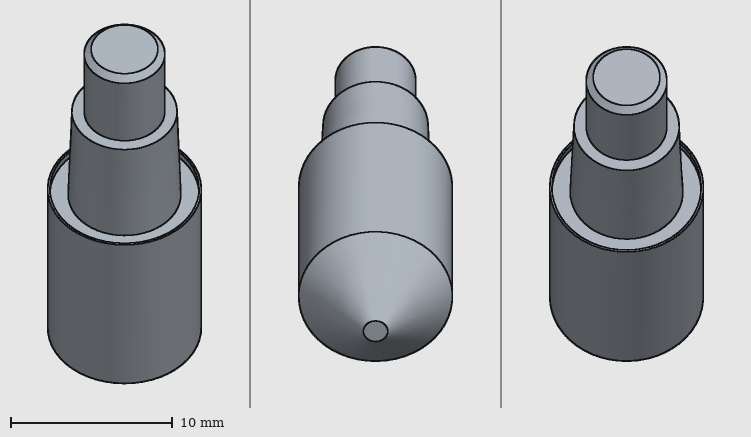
import cadquery as cq

total_height = 29.1
sleeve_diameter = 9.52
sleeve_wall = 0.15

tip_height = 4.0
sleeve_height = 12.5
rim_recess = 0.5
taper_height = 7.0

tip_flat_radius = 0.75
taper_base_radius = 3.5
taper_top_radius = 3.25
stem_radius = 2.5
stem_chamfer_width = 0.45
stem_chamfer_height = 0.4

sleeve_radius = sleeve_diameter / 2
bore_radius = sleeve_radius - sleeve_wall
sleeve_top = tip_height + sleeve_height
shoulder_level = sleeve_top - rim_recess
taper_top = sleeve_top + taper_height


def make_sleeve():
    """Thin tube seated on the base of the conical tip, standing slightly above the pin shoulder."""
    return (
        cq.Workplane("XY")
        .workplane(offset=tip_height)
        .circle(sleeve_radius)
        .circle(bore_radius)
        .extrude(sleeve_height)
    )


def make_pin():
    """Turned pin: conical tip, cylindrical body, tapered neck and chamfered stem."""
    half_profile = (
        cq.Workplane("XZ")
        .moveTo(0, 0)
        .lineTo(tip_flat_radius, 0)
        .lineTo(sleeve_radius, tip_height)
        .lineTo(bore_radius, tip_height)
        .lineTo(bore_radius, shoulder_level)
        .lineTo(taper_base_radius, shoulder_level)
        .lineTo(taper_top_radius, taper_top)
        .lineTo(stem_radius, taper_top)
        .lineTo(stem_radius, total_height - stem_chamfer_height)
        .lineTo(stem_radius - stem_chamfer_width, total_height)
        .lineTo(0, total_height)
        .close()
    )
    return half_profile.revolve(360, (0, 0, 0), (0, 1, 0))


sleeve = make_sleeve()
pin = make_pin()
result = cq.Compound.makeCompound([sleeve.val(), pin.val()])